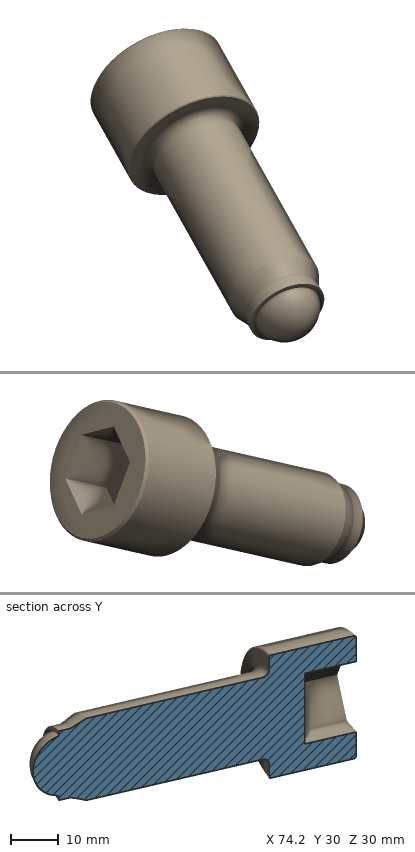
import cadquery as cq
import math

total_length = 74.2
head_diameter = 30.0
head_length = 20.0
head_chamfer = 0.5
head_back_chamfer = 0.2
shank_diameter = 20.0
neck_fillet = 1.55
neck_diameter = shank_diameter + 2 * neck_fillet
taper_start = 61.9
taper_end = 65.6
nose_diameter = 16.9
nose_end = 68.3
ball_radius = 7.5
hex_across_flats = 17.0
hex_depth = 11.9

head_radius = head_diameter / 2
shank_radius = shank_diameter / 2
nose_radius = nose_diameter / 2

ball_centre = total_length - ball_radius
ball_rim = math.sqrt(ball_radius**2 - (nose_end - ball_centre) ** 2)


def arc_point(centre_x, centre_r, radius, angle):
    """Point on an arc in the turning profile, angle in degrees from +X."""
    turn = math.radians(angle)
    return (centre_x + radius * math.cos(turn), centre_r + radius * math.sin(turn))


def turned_body():
    """Head, filleted shank, tapered nose and ball, revolved about X."""
    rim_angle = math.degrees(math.atan2(ball_rim, nose_end - ball_centre))
    profile = (
        cq.Workplane("XY")
        .moveTo(0, 0)
        .lineTo(0, head_radius - head_chamfer)
        .lineTo(head_chamfer, head_radius)
        .lineTo(head_length - head_back_chamfer, head_radius)
        .lineTo(head_length, head_radius - head_back_chamfer)
        .lineTo(head_length, neck_diameter / 2)
        .threePointArc(
            arc_point(head_length + neck_fillet, neck_diameter / 2, neck_fillet, 225),
            (head_length + neck_fillet, shank_radius),
        )
        .lineTo(taper_start, shank_radius)
        .lineTo(taper_end, nose_radius)
        .lineTo(nose_end, nose_radius)
        .lineTo(nose_end, ball_rim)
        .threePointArc(
            arc_point(ball_centre, 0, ball_radius, rim_angle / 2),
            (total_length, 0),
        )
        .close()
    )
    return profile.revolve(360, (0, 0, 0), (1, 0, 0))


def hex_socket():
    """Blind hexagonal key socket with two corners on the Y axis."""
    across_corners = hex_across_flats / math.cos(math.radians(30))
    return cq.Workplane("YZ").polygon(6, across_corners).extrude(hex_depth)


screw = turned_body().cut(hex_socket())
result = screw.translate((-total_length / 2, 0, 0))